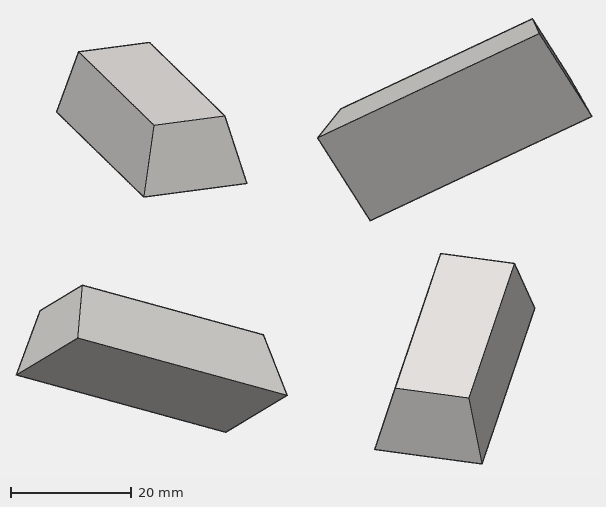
import cadquery as cq

length = 42.1
width = 18.3
height = 11.4

wall_inset = 2.85

top_length = length - 2 * wall_inset
top_width = width - 2 * wall_inset

result = (
    cq.Workplane("XY")
    .rect(length, width)
    .workplane(offset=height)
    .rect(top_length, top_width)
    .loft(ruled=True, combine=True)
)